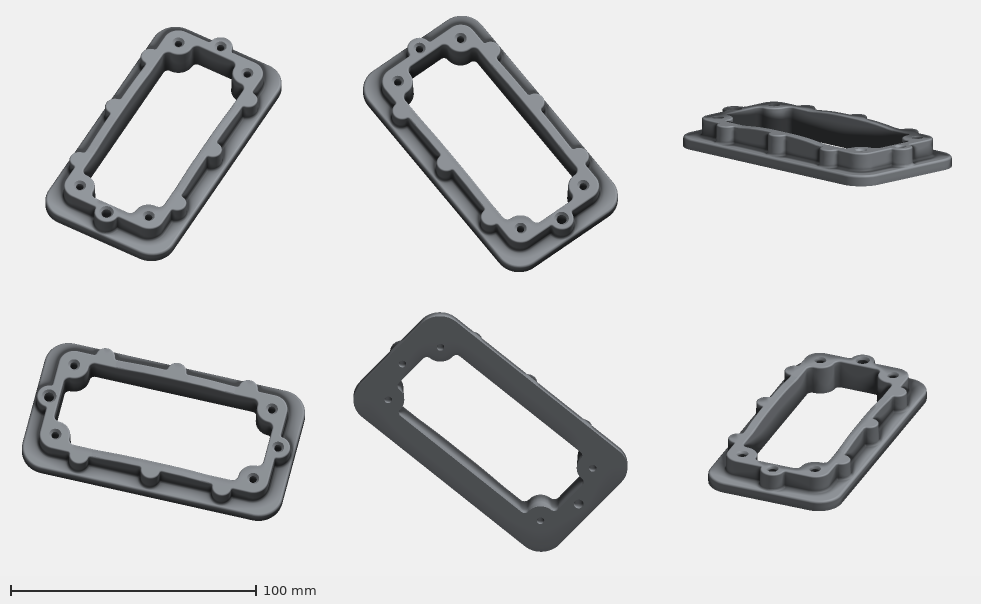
import cadquery as cq
plate_length = 109.0
plate_width = 58.0
plate_height = 4.5
plate_corner_radius = 10.0
edge_round = 1.0

corner_hole_x = 16.0
corner_hole_y = 41.5
corner_boss_radius = 6.5
wall_half_width = 22.7
wall_half_length = corner_hole_y + corner_boss_radius
wall_top = 12.0
wall_top_round = 0.7
foot_round = 1.0

wall_draft = 1.0
opening_draft = 2.0

opening_half_width = 18.2
opening_half_length = 43.4
opening_corner_round = 2.0

hump_top = 13.2
hump_start_y = 25.0
hump_bend_y = 21.0
hump_flat_y = 5.2

side_boss_radius = 4.1
side_boss_pitch = 30.0
end_boss_radius = 5.1
boss_blend = 0.8

small_hole_diameter = 3.0
large_hole_diameter = 4.0
countersink_depth = 1.0
countersink_angle = 45

corner_hole_points = [(sx * corner_hole_x, sy * corner_hole_y) for sx in (-1, 1) for sy in (-1, 1)]
end_hole_points = [(0, -wall_half_length), (0, wall_half_length)]
side_boss_points = [(sx * wall_half_width, row * side_boss_pitch) for sx in (-1, 1) for row in (-1, 0, 1)]


def make_plate():
    """Flat plate with round corners and a rounded top edge."""
    plate = cq.Workplane("XY").box(plate_width, plate_length, plate_height, centered=(True, True, False))
    return plate.edges("|Z").fillet(plate_corner_radius).faces(">Z").edges().fillet(edge_round)


def drafted(prism, height, draft):
    """The outline of an upright prism, extruded again from its bottom with drafted sides."""
    return prism.faces("<Z").wires().toPending().extrude(height, taper=draft, combine=False)


def space_above_wall():
    """Space above the wall top: flat at the ends, with tangent S-curves up to the hump."""
    bend_share = (hump_start_y - hump_bend_y) / (hump_start_y - hump_flat_y)
    bend_z = wall_top + (hump_top - wall_top) * bend_share
    clear_y = plate_length / 2
    clear_z = 2 * hump_top
    return (
        cq.Workplane("YZ")
        .moveTo(clear_y, clear_z)
        .lineTo(clear_y, wall_top)
        .lineTo(hump_start_y, wall_top)
        .tangentArcPoint((hump_bend_y, bend_z), relative=False)
        .tangentArcPoint((hump_flat_y, hump_top), relative=False)
        .lineTo(-hump_flat_y, hump_top)
        .tangentArcPoint((-hump_bend_y, bend_z), relative=False)
        .tangentArcPoint((-hump_start_y, wall_top), relative=False)
        .lineTo(-clear_y, wall_top)
        .lineTo(-clear_y, clear_z)
        .close()
        .extrude(plate_width, both=True)
    )


def top_edge_box(half_width, half_length):
    """Selects edges around the wall top whose centres lie within the given half sizes."""
    reach = wall_top_round
    return cq.selectors.BoxSelector(
        (-half_width, -half_length, wall_top - reach), (half_width, half_length, hump_top + reach)
    )


def make_wall():
    """Drafted wall block with its outside bosses, cut to the humped top and rounded there."""
    height = hump_top - plate_height
    base = cq.Workplane("XY", origin=(0, 0, plate_height))
    outline = base.rect(2 * wall_half_width, 2 * wall_half_length).extrude(height)
    outline = outline.edges("|Z").fillet(corner_boss_radius)
    outline = outline.union(base.pushPoints(side_boss_points).circle(side_boss_radius).extrude(height))
    outline = outline.union(base.pushPoints(end_hole_points).circle(end_boss_radius).extrude(height))
    outline = outline.edges("|Z").fillet(boss_blend)
    wall = drafted(outline, height, wall_draft).cut(space_above_wall())
    return wall.edges(top_edge_box(plate_width / 2, plate_length / 2)).fillet(wall_top_round)


def make_opening():
    """Rectangular opening with a round post around each corner screw hole left standing."""
    opening = cq.Workplane("XY").rect(2 * opening_half_width, 2 * opening_half_length).extrude(hump_top)
    posts = cq.Workplane("XY").pushPoints(corner_hole_points).circle(corner_boss_radius).extrude(hump_top)
    opening = opening.cut(posts).edges("|Z").fillet(opening_corner_round)
    return drafted(opening, hump_top, -opening_draft)


def make_frame():
    """Plate and wall joined by a rounded foot, with the opening cut and its top edge rounded."""
    frame = make_plate().union(make_wall())
    plate_top = frame.faces("|Z").faces("<Z[-2]").val()
    foot_edges = [edge for wire in plate_top.innerWires() for edge in wire.Edges()]
    frame = frame.newObject(foot_edges).fillet(foot_round)
    frame = frame.cut(make_opening())
    rim_box = top_edge_box(opening_half_width + wall_top_round, opening_half_length + wall_top_round)
    return frame.edges(rim_box).fillet(wall_top_round)


def countersunk_holes(points, diameter):
    """Through holes with a conical countersink at the wall top."""
    top_plane = cq.Workplane("XY", origin=(0, 0, wall_top)).pushPoints(points)
    mouth_diameter = diameter + 2 * countersink_depth
    drills = top_plane.circle(diameter / 2).extrude(-wall_top)
    sinks = top_plane.circle(mouth_diameter / 2).extrude(-countersink_depth, taper=countersink_angle)
    return drills.union(sinks)


front_hole_point, back_hole_point = end_hole_points
result = make_frame()
result = result.cut(countersunk_holes(corner_hole_points + [back_hole_point], small_hole_diameter))
result = result.cut(countersunk_holes([front_hole_point], large_hole_diameter))